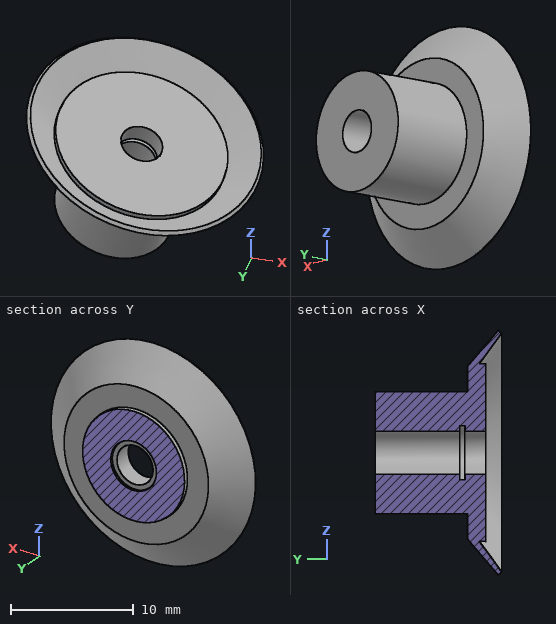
import cadquery as cq

total_length = 10.3
tube_length = 7.5
tube_radius = 5.0

lip_radius = 10.0
rim_chamfer = 0.28
rim_radius = lip_radius - rim_chamfer
lip_back_radius = 7.05
lip_back_y = total_length - tube_length

disc_radius = 7.25
disc_height = 0.5
disc_face_y = 1.3
cup_floor_y = disc_face_y + disc_height

bore_radius = 1.75
front_bore_length = 1.7
recess_radius = 2.2
recess_width = 0.4
recess_start_y = disc_face_y + front_bore_length


def make_body():
    """Revolve the cup, disc and tube about Y from one (axial position, radius) profile."""
    return (
        cq.Workplane("YZ")
        .moveTo(disc_face_y, 0)
        .lineTo(disc_face_y, disc_radius)
        .lineTo(cup_floor_y, disc_radius)
        .lineTo(0, rim_radius)
        .lineTo(rim_chamfer, lip_radius)
        .lineTo(lip_back_y, lip_back_radius)
        .lineTo(lip_back_y, tube_radius)
        .lineTo(total_length, tube_radius)
        .lineTo(total_length, 0)
        .close()
        .revolve(360, (0, 0, 0), (1, 0, 0))
    )


def make_cylinder(radius, start_y, length):
    """Make a cylinder on the Y axis that runs from start_y towards +Y."""
    base = cq.Workplane("XZ", origin=(0, start_y, 0))
    return base.circle(radius).extrude(-length)


bore = make_cylinder(bore_radius, 0, total_length)
recess = make_cylinder(recess_radius, recess_start_y, recess_width)

result = make_body().cut(bore).cut(recess)